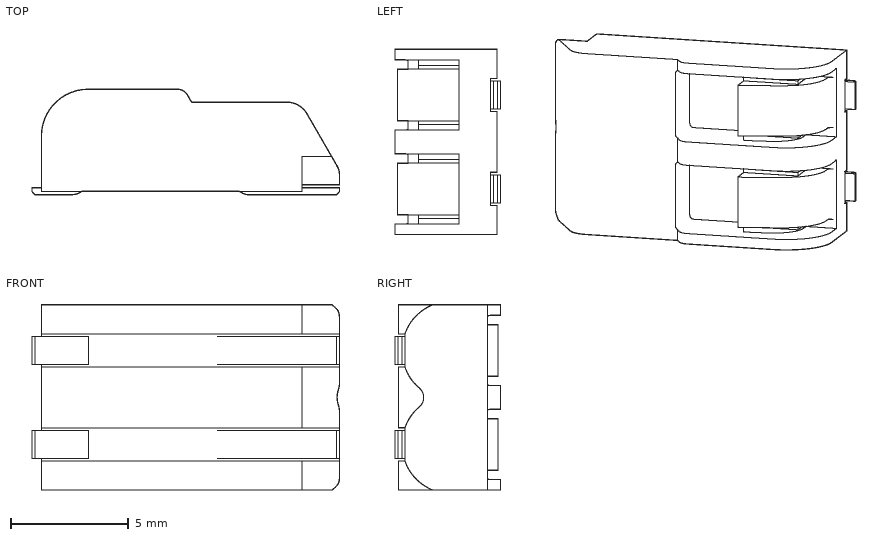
import cadquery as cq
import math


housing_length = 12.7
housing_width = 7.9
high_top = 4.35
low_top = 3.8
back_corner_radius = 2.0
step_start_x = 6.08
step_end_x = 6.4
step_round = 0.5
slope_foot_y = 0.9
slope_angle = 60.0
slope_top_round = 1.0
slope_foot_round = 0.8

pole_centers = (-2.0, 2.0)

nose_start_x = 11.1
nose_radius = 2.1
nose_axis_y = 2.25
nose_valley_half_width = 0.4

pocket_width = 2.98
pocket_floor_y = 1.62
pocket_end_x = 6.5
pocket_corner_radius = 0.18

lever_width = 2.2
lever_axis_x = 2.2
lever_axis_y = 2.0
lever_radius = 1.85
lever_top_y = 4.25
lever_top_angle = 15.5
lever_end_x = 3.6
lever_foot_radius = 0.2
shoulder_width = 2.5
shoulder_start_x = 1.2
shoulder_top_y = 3.35
pivot_axis_x = 2.6
pivot_radius = 1.25
pivot_top_angle = 10.0

groove_width = 1.4
groove_depth = 0.275
terminal_width = 1.2
terminal_thickness = 0.3
terminal_bottom_y = -0.15
terminal_top_y = terminal_bottom_y + terminal_thickness
tip_chamfer = 0.13
back_tip_x = -0.4
back_bend_start_x = 1.3
back_bend_outer_radius = 0.7
back_bend_angle = 45.0
back_bend_inner_radius = back_bend_outer_radius - terminal_thickness
back_ramp_length = 0.5
front_strip_start_x = 7.5
front_ramp_start_y = 0.24
front_ramp_start_x = 7.96
front_ramp_end_x = 8.69
front_bend_radius = 0.45


def prism(outline, width, center_z=0.0):
    """Extrude a closed XY outline symmetrically about the plane Z = center_z."""
    return outline.extrude(width / 2, both=True).translate((0, 0, center_z))


def box(x0, x1, y0, y1, width, center_z):
    """Box given by its X and Y limits and its width about Z = center_z."""
    outline = cq.Workplane("XY").moveTo(x0, y0).lineTo(x1, y0).lineTo(x1, y1).lineTo(x0, y1).close()
    return prism(outline, width, center_z)


def edge_at(x, y):
    """Selector for the edges parallel to Z that pass through (x, y)."""
    reach = 0.01
    return cq.selectors.BoxSelector(
        (x - reach, y - reach, -housing_width),
        (x + reach, y + reach, housing_width),
    )


def make_housing():
    """Solid housing block with its stepped and sloped top."""
    slope_run = (low_top - slope_foot_y) / math.tan(math.radians(slope_angle))
    slope_top_x = housing_length - slope_run
    outline = (
        cq.Workplane("XY")
        .polyline([
            (0, 0),
            (housing_length, 0),
            (housing_length, slope_foot_y),
            (slope_top_x, low_top),
            (step_end_x, low_top),
            (step_start_x, high_top),
            (0, high_top),
        ])
        .close()
    )
    body = prism(outline, housing_width)
    body = body.edges(edge_at(0, high_top)).fillet(back_corner_radius)
    body = body.edges(edge_at(step_start_x, high_top)).fillet(step_round)
    body = body.edges(edge_at(slope_top_x, low_top)).fillet(slope_top_round)
    return body.edges(edge_at(housing_length, slope_foot_y)).fillet(slope_foot_round)


def nose_y(offset_from_pole):
    """Height of the rounded nose underside at a Z offset from the pole center."""
    return nose_axis_y - math.sqrt(nose_radius**2 - offset_from_pole**2)


def make_nose_relief():
    """Material under the nose: below one rounded lobe per pole, joined by a valley."""
    side_z = housing_width / 2
    low_pole, high_pole = pole_centers
    lobe_bottom_y = nose_axis_y - nose_radius
    side_edge_y = nose_y(side_z - high_pole)
    valley_edge_y = nose_y(high_pole - nose_valley_half_width)
    valley_slope = math.asin((high_pole - nose_valley_half_width) / nose_radius)
    valley_radius = nose_valley_half_width / math.sin(valley_slope)
    valley_y = valley_edge_y + valley_radius * (1 - math.cos(valley_slope))
    profile = (
        cq.Workplane("YZ", origin=(nose_start_x, 0, 0))
        .moveTo(0, -side_z)
        .lineTo(side_edge_y, -side_z)
        .threePointArc((lobe_bottom_y, low_pole), (valley_edge_y, -nose_valley_half_width))
        .threePointArc((valley_y, 0), (valley_edge_y, nose_valley_half_width))
        .threePointArc((lobe_bottom_y, high_pole), (side_edge_y, side_z))
        .lineTo(0, side_z)
        .close()
    )
    return profile.extrude(housing_length - nose_start_x)


def make_pocket(center_z):
    """Open-topped lever pocket with rounded corners at its inner end."""
    pocket = box(0, pocket_end_x, pocket_floor_y, high_top, pocket_width, center_z)
    return pocket.edges("|Y and >X").fillet(pocket_corner_radius)


def rounded_arm(axis_x, radius, top_angle, top_y):
    """Arm outline: upright front, arc about its axis, tangent rising plane and flat top."""
    front_x = axis_x - radius
    tilt = math.radians(top_angle)
    arc_middle = math.radians(90 - top_angle) / 2
    arc_end_x = axis_x - radius * math.sin(tilt)
    arc_end_y = lever_axis_y + radius * math.cos(tilt)
    top_start_x = arc_end_x + (top_y - arc_end_y) / math.tan(tilt)
    return (
        cq.Workplane("XY")
        .moveTo(front_x, pocket_floor_y)
        .lineTo(front_x, lever_axis_y)
        .threePointArc(
            (
                axis_x - radius * math.cos(arc_middle),
                lever_axis_y + radius * math.sin(arc_middle),
            ),
            (arc_end_x, arc_end_y),
        )
        .lineTo(top_start_x, top_y)
        .lineTo(lever_end_x, top_y)
        .lineTo(lever_end_x, pocket_floor_y)
        .close()
    )


def make_lever(center_z):
    """Rounded lever with its square shoulder and the lower pivot arm that fills the pocket width."""
    front_x = lever_axis_x - lever_radius
    lever_outline = rounded_arm(lever_axis_x, lever_radius, lever_top_angle, lever_top_y)
    lever = prism(lever_outline, lever_width, center_z)
    foot_outline = (
        cq.Workplane("XY")
        .moveTo(front_x - lever_foot_radius, pocket_floor_y)
        .radiusArc((front_x, pocket_floor_y + lever_foot_radius), -lever_foot_radius)
        .lineTo(front_x, pocket_floor_y)
        .close()
    )
    foot = prism(foot_outline, lever_width, center_z)
    shoulder = box(shoulder_start_x, lever_end_x, pocket_floor_y, shoulder_top_y, shoulder_width, center_z)
    pivot_outline = rounded_arm(pivot_axis_x, pivot_radius, pivot_top_angle, shoulder_top_y)
    pivot = prism(pivot_outline, pocket_width, center_z)
    return lever.union(foot).union(shoulder).union(pivot)


def make_groove(center_z):
    """Groove that seats the terminals, along the whole mounting face."""
    return box(0, housing_length, 0, groove_depth, groove_width, center_z)


def make_back_terminal(center_z):
    """Flat tip that bends upward and runs at an angle into the groove floor."""
    bend = math.radians(back_bend_angle)
    bend_center_y = terminal_bottom_y + back_bend_outer_radius

    def bend_end(radius):
        return (back_bend_start_x + radius * math.sin(bend), bend_center_y - radius * math.cos(bend))

    outer_x, outer_y = bend_end(back_bend_outer_radius)
    inner_x, inner_y = bend_end(back_bend_inner_radius)
    ramp_run = back_ramp_length * math.cos(bend)
    ramp_rise = back_ramp_length * math.sin(bend)
    outline = (
        cq.Workplane("XY")
        .moveTo(back_tip_x, terminal_top_y)
        .lineTo(back_tip_x, terminal_bottom_y + tip_chamfer)
        .lineTo(back_tip_x + tip_chamfer, terminal_bottom_y)
        .lineTo(back_bend_start_x, terminal_bottom_y)
        .radiusArc((outer_x, outer_y), -back_bend_outer_radius)
        .lineTo(outer_x + ramp_run, outer_y + ramp_rise)
        .lineTo(inner_x + ramp_run, inner_y + ramp_rise)
        .lineTo(inner_x, inner_y)
        .radiusArc((back_bend_start_x, terminal_top_y), back_bend_inner_radius)
        .close()
    )
    return prism(outline, terminal_width, center_z)


def make_front_terminal(center_z):
    """Strip that leaves the groove floor at a shallow angle and ramps down to a flat tip."""
    outline = (
        cq.Workplane("XY")
        .polyline([
            (front_strip_start_x, groove_depth),
            (front_ramp_start_x, front_ramp_start_y),
            (front_ramp_end_x, terminal_bottom_y),
            (housing_length - tip_chamfer, terminal_bottom_y),
            (housing_length, terminal_bottom_y + tip_chamfer),
            (housing_length, terminal_top_y),
            (front_ramp_end_x, terminal_top_y),
            (front_ramp_start_x, front_ramp_start_y + terminal_thickness),
            (front_strip_start_x, groove_depth + terminal_thickness),
        ])
        .close()
    )
    terminal = prism(outline, terminal_width, center_z)
    terminal = terminal.edges(edge_at(front_ramp_start_x, front_ramp_start_y)).fillet(front_bend_radius)
    return terminal.edges(edge_at(front_ramp_end_x, terminal_bottom_y)).fillet(front_bend_radius)


result = make_housing().cut(make_nose_relief())
for pole_z in pole_centers:
    result = result.cut(make_pocket(pole_z)).cut(make_groove(pole_z))
    result = result.union(make_lever(pole_z))
    result = result.union(make_back_terminal(pole_z)).union(make_front_terminal(pole_z))